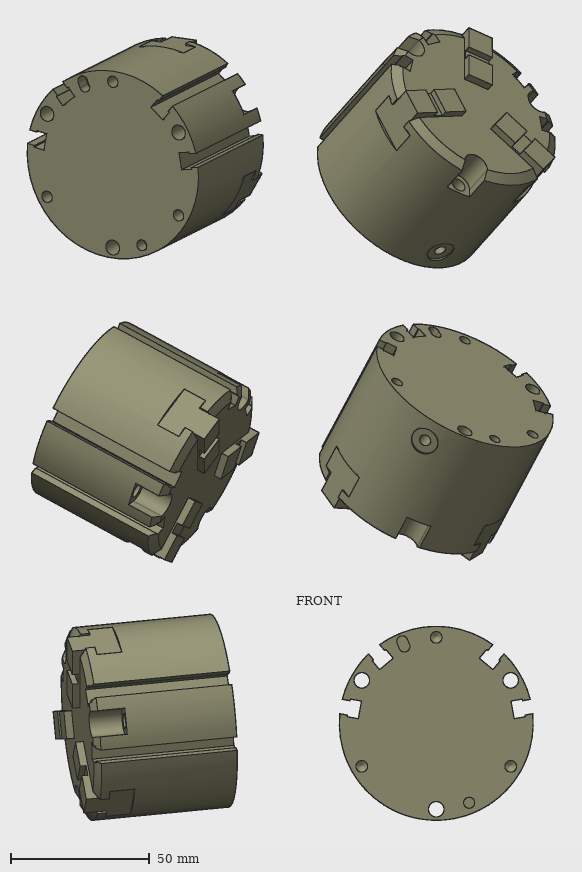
import cadquery as cq
import math


body_diameter = 70.0
body_radius = body_diameter / 2
overall_length = 54.9
jaw_projection = 2.9
body_length = overall_length - jaw_projection
chamfer_length = 2.1
chamfer_depth = 3.7

jaw_angles = [90, 210, 330]
jaw_inner_radius = 10.0
jaw_outer_radius = 33.9
stem_width = 10.0
tee_width = 18.0
shoulder_depth = 5.45
tee_depth = 14.55
notch_inner_radius = 20.0
notch_width = 4.0
notch_depth = 2.2

groove_angles = [10, 50, 130, 170]
groove_floor_radius = 28.0
groove_step_radius = 32.05
groove_width = 6.4
groove_mouth_width = 5.2

bolt_circle_radius = 31.0
through_angles = [30, 150, 270]
through_diameter = 5.5
pocket_width = 9.45
pocket_depth = 12.05
tapped_angles = [90, 210, 330]
tapped_diameter = 4.2
tapped_depth = 10.0
drill_point_angle = 118.0

pin_angle = -67.5
pin_slot_angle = pin_angle + 180
pin_diameter = 4.0
pin_slot_length = 6.0
pin_depth = 6.0

port_angle = 250
port_offset = 9.0
port_face_diameter = 10.0
port_face_radius = 34.15
port_diameter = 4.2
port_depth = 10.0

clearance = 3.5


def turned(shape, angle):
    return shape.rotate((0, 0, 0), (0, -1, 0), angle)


def block(inner_radius, outer_radius, width, start, end):
    """Box lying between two radii along +X, centred on Z, from Y = start to Y = end."""
    size = (outer_radius - inner_radius, end - start, width)
    corner = (inner_radius, start, -width / 2)
    return cq.Workplane("XY").box(*size, centered=False).translate(corner)


def rod(radius, diameter, start, end):
    """Cylinder parallel to Y with its centre on +X at the given radius."""
    plane = cq.Workplane("XZ", origin=(radius, start, 0))
    return plane.circle(diameter / 2).extrude(start - end)


def make_body():
    profile = [
        (0, 0),
        (body_radius, 0),
        (body_radius, body_length - chamfer_length),
        (body_radius - chamfer_depth, body_length),
        (0, body_length),
    ]
    return cq.Workplane("XY").polyline(profile).close().revolve(360, (0, 0, 0), (0, 1, 0))


def tee(inner_radius, outer_radius):
    """Solid with the T outline of a jaw, lying between two radii."""
    tee_end = body_length - tee_depth
    shoulder = body_length - shoulder_depth
    wide_part = block(inner_radius, outer_radius, tee_width, tee_end, shoulder)
    stem = block(inner_radius, outer_radius, stem_width, tee_end, overall_length)
    return wide_part.union(stem)


def make_jaw():
    notch_outer_radius = notch_inner_radius + notch_width
    notch_floor = overall_length - notch_depth
    notch = block(notch_inner_radius, notch_outer_radius, 2 * stem_width, notch_floor, overall_length)
    return tee(jaw_inner_radius, jaw_outer_radius).cut(notch)


def make_groove():
    outside = body_radius + clearance
    wide_part = block(groove_floor_radius, groove_step_radius, groove_width, 0, body_length)
    mouth = block(groove_floor_radius, outside, groove_mouth_width, 0, body_length)
    return wide_part.union(mouth)


def make_through_hole():
    pocket_floor = body_length - pocket_depth
    hole = rod(bolt_circle_radius, through_diameter, 0, body_length)
    pocket = rod(bolt_circle_radius, pocket_width, pocket_floor, body_length)
    opening = block(bolt_circle_radius, body_radius + clearance, pocket_width, pocket_floor, body_length)
    return hole.union(pocket).union(opening)


def make_tapped_hole():
    radius = tapped_diameter / 2
    point_length = radius / math.tan(math.radians(drill_point_angle / 2))
    profile = [(0, 0), (radius, 0), (radius, tapped_depth), (0, tapped_depth + point_length)]
    hole = cq.Workplane("XY").polyline(profile).close().revolve(360, (0, 0, 0), (0, 1, 0))
    return hole.translate((bolt_circle_radius, 0, 0))


def make_pin_slot():
    plane = cq.Workplane("XZ", origin=(bolt_circle_radius, 0, 0))
    return plane.slot2D(pin_slot_length, pin_diameter).extrude(-pin_depth)


def make_port():
    plane = cq.Workplane("YZ", origin=(port_face_radius, port_offset, 0))
    spot_face = plane.circle(port_face_diameter / 2).extrude(clearance)
    hole = plane.circle(port_diameter / 2).extrude(-port_depth)
    return spot_face.union(hole)


result = make_body()

for angle in jaw_angles:
    result = result.cut(turned(tee(jaw_outer_radius, body_radius + clearance), angle))
    result = result.union(turned(make_jaw(), angle))

for angle in groove_angles:
    result = result.cut(turned(make_groove(), angle))

for angle in through_angles:
    result = result.cut(turned(make_through_hole(), angle))

for angle in tapped_angles:
    result = result.cut(turned(make_tapped_hole(), angle))

pin_hole = rod(bolt_circle_radius, pin_diameter, 0, pin_depth)
result = result.cut(turned(pin_hole, pin_angle))
result = result.cut(turned(make_pin_slot(), pin_slot_angle))
result = result.cut(turned(make_port(), port_angle))